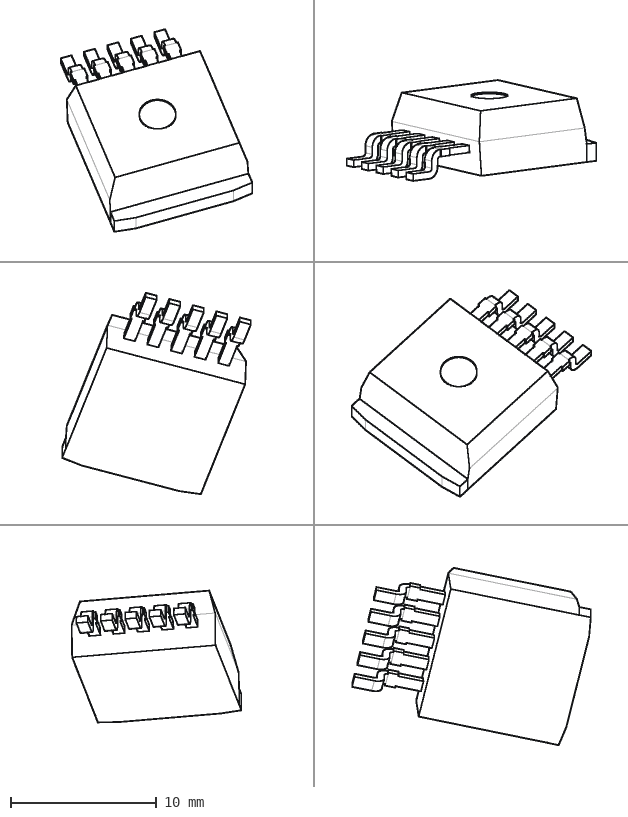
import cadquery as cq

LENGTH = 15.0
HEIGHT = 4.42

BODY_WIDTH = 9.99
PARTING_HEIGHT = 2.42
PARTING_FRONT_X = 4.77
BOTTOM_FRONT_X = 4.95
TOP_FRONT_X = 5.25
TOP_BACK_X = 13.5
BODY_BACK_X = 13.98
SIDE_INSET = 0.5

MARK_DIAMETER = 2.5
MARK_DEPTH = 0.1

TAB_WIDTH = 10.0
TAB_THICKNESS = 1.26
TAB_CORNER_X = 14.79
TAB_TIP_WIDTH = 7.05

LEAD_COUNT = 5
LEAD_PITCH = 1.7
LEAD_WIDTH = 0.8
LEAD_THICKNESS = 0.5
LEAD_TOP = 1.96
RISER_X = 1.6
INNER_BEND_RADIUS = 0.24
OUTER_BEND_RADIUS = INNER_BEND_RADIUS + LEAD_THICKNESS
LEAD_END_X = TOP_FRONT_X

SHOULDER_WIDTH = 1.02
SHOULDER_X = RISER_X + OUTER_BEND_RADIUS
SHOULDER_LENGTH = 0.72


def body_profile():
    """Side outline of the moulded body, extruded over the full width."""
    return (
        cq.Workplane("XZ")
        .moveTo(BOTTOM_FRONT_X, 0)
        .lineTo(BODY_BACK_X, 0)
        .lineTo(BODY_BACK_X, TAB_THICKNESS)
        .lineTo(TOP_BACK_X, HEIGHT)
        .lineTo(TOP_FRONT_X, HEIGHT)
        .lineTo(PARTING_FRONT_X, PARTING_HEIGHT)
        .close()
        .extrude(BODY_WIDTH / 2, both=True)
    )


def end_profile():
    """End outline of the body: upright below the parting line, tapered above it."""
    half_width = BODY_WIDTH / 2
    half_top = half_width - SIDE_INSET
    return (
        cq.Workplane("YZ")
        .moveTo(-half_width, 0)
        .lineTo(half_width, 0)
        .lineTo(half_width, PARTING_HEIGHT)
        .lineTo(half_top, HEIGHT)
        .lineTo(-half_top, HEIGHT)
        .lineTo(-half_width, PARTING_HEIGHT)
        .close()
        .extrude(LENGTH)
    )


def make_body():
    """Moulded body with the shallow round mark sunk into its top."""
    mark = (
        cq.Workplane("XY", origin=((TOP_FRONT_X + TOP_BACK_X) / 2, 0, HEIGHT - MARK_DEPTH))
        .circle(MARK_DIAMETER / 2)
        .extrude(MARK_DEPTH)
    )
    return body_profile().intersect(end_profile()).cut(mark)


def make_tab():
    """Heat tab whose back edge slants forward at both corners."""
    return (
        cq.Workplane("XY")
        .moveTo(BODY_BACK_X, -TAB_WIDTH / 2)
        .lineTo(TAB_CORNER_X, -TAB_WIDTH / 2)
        .lineTo(LENGTH, -TAB_TIP_WIDTH / 2)
        .lineTo(LENGTH, TAB_TIP_WIDTH / 2)
        .lineTo(TAB_CORNER_X, TAB_WIDTH / 2)
        .lineTo(BODY_BACK_X, TAB_WIDTH / 2)
        .close()
        .extrude(TAB_THICKNESS)
    )


def make_lead():
    """One lead centred on Y = 0: flat foot, riser with two bends, shoulder and shank."""
    riser_back_x = RISER_X + LEAD_THICKNESS
    shank_bottom = LEAD_TOP - LEAD_THICKNESS
    strip = (
        cq.Workplane("XZ")
        .lineTo(riser_back_x - OUTER_BEND_RADIUS, 0)
        .tangentArcPoint((OUTER_BEND_RADIUS, OUTER_BEND_RADIUS))
        .lineTo(riser_back_x, shank_bottom - INNER_BEND_RADIUS)
        .tangentArcPoint((INNER_BEND_RADIUS, INNER_BEND_RADIUS))
        .lineTo(LEAD_END_X, shank_bottom)
        .lineTo(LEAD_END_X, LEAD_TOP)
        .lineTo(RISER_X + OUTER_BEND_RADIUS, LEAD_TOP)
        .tangentArcPoint((-OUTER_BEND_RADIUS, -OUTER_BEND_RADIUS))
        .lineTo(RISER_X, LEAD_THICKNESS + INNER_BEND_RADIUS)
        .tangentArcPoint((-INNER_BEND_RADIUS, -INNER_BEND_RADIUS))
        .lineTo(0, LEAD_THICKNESS)
        .close()
        .extrude(LEAD_WIDTH / 2, both=True)
    )
    shoulder = cq.Workplane("XY").box(
        SHOULDER_LENGTH, SHOULDER_WIDTH, LEAD_THICKNESS, centered=(False, True, False)
    )
    return strip.union(shoulder.translate((SHOULDER_X, 0, shank_bottom)))


result = make_body().union(make_tab())
lead = make_lead()
for index in range(LEAD_COUNT):
    lead_y = (index - (LEAD_COUNT - 1) / 2) * LEAD_PITCH
    result = result.union(lead.translate((0, lead_y, 0)))